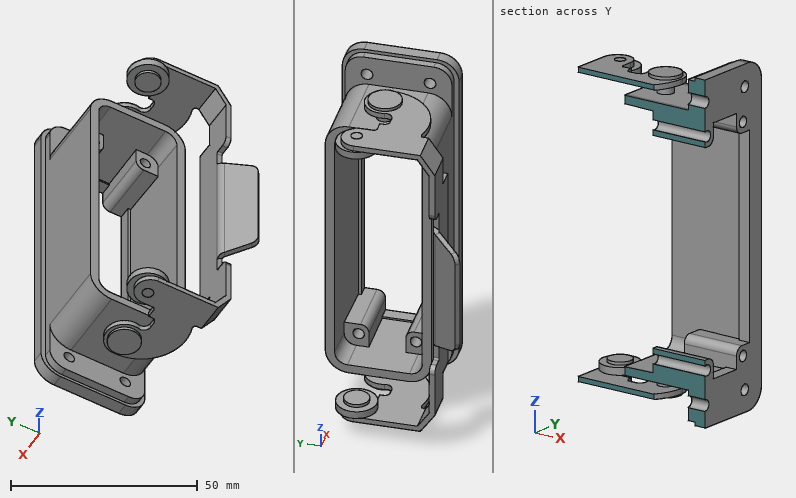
import cadquery as cq
import math


flange_width = 32.3
flange_height = 98.0
flange_thickness = 3.5
flange_radius = 6.1
step_width = 29.5
step_height = 96.0
step_radius = 5.0
step_front_x = -5.8
screw_hole_dia = 3.2
screw_hole_y = 8.7
screw_hole_z = 42.6

body_width = step_width
body_height = 79.0
body_radius = 6.6
mouth_x = -27.1
mouth_width = 24.2
mouth_height = 73.9
mouth_radius = 3.5
cavity_draft = 1.0
back_opening_width = 21.8
back_opening_height = 72.0

pad_front_x = -17.6
pad_inner_y = 5.1
pad_inner_z = 29.9
pad_embed = 0.2
pad_radius = 2.4
pad_hole_dia = 3.1
pad_hole_y = 7.9
pad_hole_z = 32.9

sheet = 1.6
lever_top_z = 44.3
lever_front_y = -19.7
lever_left_x = -42.8
lever_right_x = -34.0
fold_y = -15.7
fold_z = 38.5
tab_end_x = -29.0
tab_half_height = 30.4
notch_edge_x = -38.1
notch_half_height = 23.5
notch_lip_radius = 2.0
notch_corner_radius = 0.5

lobe_y = 2.8
shelf_y = -1.3
shelf_end_x = -30.6
shelf_radius = 0.9
slot_floor_y = -3.7
slot_radius = 1.5
hook_x = -20.0
hook_radius = 5.6
hook_blend_radius = 2.0
belly_radius = 13.8
belly_y = -0.5
heel_y = -13.5
heel_radius = 0.8

pin_dia = 4.8
pin_head_dia = 9.2
pin_head_height = 0.9

roller_x = -37.8
roller_y = 3.2
roller_dia = 11.4
roller_bottom_z = 40.6
collar_dia = 7.1
collar_bottom_z = 39.7
rivet_dia = 3.1
rivet_height = 0.1

handle_angle = 50.0
handle_bend_radius = 1.2
handle_length = 9.2
handle_root_half = 17.8
handle_tip_half = 14.9
handle_flare_half = 19.1
handle_tip_radius = 2.7


def rounded_block(width, height, radius, x_start, x_end):
    """Block along X with rounded corners, centred on the housing axis."""
    block = cq.Workplane("YZ", origin=(x_start, 0, 0)).rect(width, height).extrude(x_end - x_start)
    return block.edges("|X").fillet(radius)


def disc(x, y, diameter, z_start, z_end):
    """Round disc standing along Z."""
    return cq.Workplane("XY", origin=(x, y, z_start)).circle(diameter / 2).extrude(z_end - z_start)


def both_ends(upper):
    """The shape together with its mirror image about Z = 0."""
    return upper.union(upper.mirror("XY"))


def corner_holes(diameter, y, z):
    """Four holes along X through the whole housing."""
    return (
        cq.Workplane("YZ", origin=(mouth_x, 0, 0))
        .rect(2 * y, 2 * z, forConstruction=True)
        .vertices()
        .circle(diameter / 2)
        .extrude(-mouth_x)
    )


def make_pads():
    """Four pads filling the cavity corners, each sunk a little into the walls."""
    size_y = mouth_width / 2 + pad_embed - pad_inner_y
    size_z = mouth_height / 2 + pad_embed - pad_inner_z
    pad = (
        cq.Workplane("XY", origin=(pad_front_x, pad_inner_y, pad_inner_z))
        .box(-pad_front_x, size_y, size_z, centered=False)
        .edges("|X and <Y and <Z")
        .fillet(pad_radius)
    )
    pair = pad.union(pad.mirror("XZ"))
    return both_ends(pair)


def make_housing():
    flange = rounded_block(flange_width, flange_height, flange_radius, -flange_thickness, 0)
    step = rounded_block(step_width, step_height, step_radius, step_front_x, -flange_thickness)
    body = rounded_block(body_width, body_height, body_radius, mouth_x, step_front_x)
    cavity = (
        cq.Workplane("YZ", origin=(mouth_x, 0, 0))
        .sketch()
        .rect(mouth_width, mouth_height)
        .vertices()
        .fillet(mouth_radius)
        .finalize()
        .extrude(-flange_thickness - mouth_x, taper=cavity_draft)
    )
    back_opening = cq.Workplane("XY").box(2 * flange_thickness, back_opening_width, back_opening_height)
    housing = flange.union(step).union(body).cut(cavity).cut(back_opening).union(make_pads())
    housing = housing.cut(corner_holes(pad_hole_dia, pad_hole_y, pad_hole_z))
    return housing.cut(corner_holes(screw_hole_dia, screw_hole_y, screw_hole_z)).clean()


def make_arm():
    """Flat upper arm: a round-ended lobe joined to a hook around the pivot pin."""
    belly_x = hook_x + hook_radius - belly_radius
    lobe_radius = (lever_right_x - lever_left_x) / 2
    lobe_x = lever_left_x + lobe_radius
    blend_y = slot_floor_y + hook_blend_radius
    centre_gap = hook_radius + hook_blend_radius
    blend_x = hook_x - math.sqrt(centre_gap**2 - blend_y**2)
    touch = hook_radius / centre_gap
    touch_point = (hook_x + touch * (blend_x - hook_x), touch * blend_y)
    blend_end_angle = math.atan2(-blend_y, hook_x - blend_x)
    blend_mid_angle = (blend_end_angle - math.pi / 2) / 2
    blend_mid = (
        blend_x + hook_blend_radius * math.cos(blend_mid_angle),
        blend_y + hook_blend_radius * math.sin(blend_mid_angle),
    )
    heel_angle = math.pi + math.asin((belly_y - heel_y) / belly_radius)
    heel_x = belly_x + belly_radius * math.cos(heel_angle)
    belly_mid_angle = (heel_angle + 2 * math.pi) / 2
    belly_mid = (
        belly_x + belly_radius * math.cos(belly_mid_angle),
        belly_y + belly_radius * math.sin(belly_mid_angle),
    )
    arm = (
        cq.Workplane("XY", origin=(0, 0, lever_top_z - sheet))
        .moveTo(lever_left_x, fold_y)
        .lineTo(lever_left_x, lobe_y)
        .threePointArc((lobe_x, lobe_y + lobe_radius), (lever_right_x, lobe_y))
        .lineTo(lever_right_x, shelf_y + shelf_radius)
        .radiusArc((lever_right_x + shelf_radius, shelf_y), -shelf_radius)
        .lineTo(shelf_end_x, shelf_y)
        .lineTo(shelf_end_x, slot_floor_y + slot_radius)
        .radiusArc((shelf_end_x + slot_radius, slot_floor_y), -slot_radius)
        .lineTo(blend_x, slot_floor_y)
        .threePointArc(blend_mid, touch_point)
        .threePointArc((hook_x, hook_radius), (hook_x + hook_radius, 0))
        .lineTo(hook_x + hook_radius, belly_y)
        .threePointArc(belly_mid, (heel_x, heel_y))
        .lineTo(lever_right_x + heel_radius, heel_y)
        .radiusArc((lever_right_x, heel_y - heel_radius), -heel_radius)
        .lineTo(lever_right_x, fold_y)
        .close()
        .extrude(sheet)
    )
    return arm


def make_front_plate():
    """Folded strip joining both arms, with a tab toward the housing and a notch for the handle."""
    fold_angle = math.atan2(lever_top_z - fold_z, fold_y - lever_front_y)
    inner_fold_y = fold_y + sheet * math.tan(fold_angle / 2)
    inner_fold_z = fold_z - sheet * math.tan((math.pi / 2 - fold_angle) / 2)
    inner_front_y = lever_front_y + sheet
    inner_top_z = lever_top_z - sheet
    upper_half = [
        (inner_front_y, 0),
        (inner_front_y, inner_fold_z),
        (inner_fold_y, inner_top_z),
        (inner_fold_y, lever_top_z),
        (fold_y, lever_top_z),
        (lever_front_y, fold_z),
        (lever_front_y, 0),
    ]
    strip_section = cq.Workplane("YZ", origin=(lever_left_x, 0, 0)).polyline(upper_half).close()
    strip = strip_section.extrude(lever_right_x - lever_left_x)
    plate = both_ends(strip)
    tab = cq.Workplane("XY").box(
        tab_end_x - notch_edge_x, sheet, 2 * tab_half_height, centered=(False, False, True)
    )
    plate = plate.union(tab.translate((notch_edge_x, lever_front_y, 0)))
    notch = cq.Workplane("XY").box(
        notch_edge_x - lever_left_x, sheet, 2 * notch_half_height, centered=(False, False, True)
    )
    plate = plate.cut(notch.translate((lever_left_x, lever_front_y, 0)))
    sheet_middle_y = lever_front_y + sheet / 2
    for side in (-1, 1):
        corner_z = side * notch_half_height
        lip = cq.selectors.NearestToPointSelector((lever_left_x, sheet_middle_y, corner_z))
        plate = plate.edges(lip).fillet(notch_lip_radius)
        inner = cq.selectors.NearestToPointSelector((notch_edge_x, sheet_middle_y, corner_z))
        plate = plate.edges(inner).fillet(notch_corner_radius)
    return plate


def make_handle():
    """Sheet bent outward from the notch edge and trimmed to a tapered outline."""
    angle = math.radians(handle_angle)
    along = (-math.cos(angle), -math.sin(angle))
    bend_centre = (notch_edge_x, lever_front_y - handle_bend_radius)

    def bend_point(radius, turn):
        return (bend_centre[0] - radius * math.sin(turn), bend_centre[1] + radius * math.cos(turn))

    def tip_point(start):
        return (start[0] + handle_length * along[0], start[1] + handle_length * along[1])

    inner_radius = handle_bend_radius + sheet
    outer_start = bend_point(handle_bend_radius, angle)
    inner_start = bend_point(inner_radius, angle)
    bent_strip = (
        cq.Workplane("XY")
        .moveTo(*bend_point(handle_bend_radius, 0))
        .threePointArc(bend_point(handle_bend_radius, angle / 2), outer_start)
        .lineTo(*tip_point(outer_start))
        .lineTo(*tip_point(inner_start))
        .lineTo(*inner_start)
        .threePointArc(bend_point(inner_radius, angle / 2), bend_point(inner_radius, 0))
        .close()
        .extrude(handle_flare_half, both=True)
    )
    face = cq.Plane(
        origin=(inner_start[0], inner_start[1], 0),
        xDir=(along[0], along[1], 0),
        normal=(along[1], -along[0], 0),
    )
    root = -inner_radius * math.sin(angle)
    flare_mid = (root / 2, handle_root_half + (handle_flare_half - handle_root_half) / 4)
    outline = (
        cq.Workplane(face)
        .moveTo(root, -handle_flare_half)
        .threePointArc((flare_mid[0], -flare_mid[1]), (0, -handle_root_half))
        .lineTo(handle_length, -handle_tip_half)
        .lineTo(handle_length, handle_tip_half)
        .lineTo(0, handle_root_half)
        .threePointArc(flare_mid, (root, handle_flare_half))
        .close()
        .extrude(2 * inner_radius, both=True)
    )
    tip = tip_point(inner_start)
    for side in (-1, 1):
        corner = cq.selectors.NearestToPointSelector((tip[0], tip[1], side * handle_tip_half))
        outline = outline.edges(corner).fillet(handle_tip_radius)
    return bent_strip.intersect(outline)


def make_upper_pins():
    """Pivot pin into the housing wall, and the roller riveted to the arm."""
    pin_root_z = (body_height + mouth_height) / 4
    pin = disc(hook_x, 0, pin_dia, pin_root_z, lever_top_z)
    head = disc(hook_x, 0, pin_head_dia, lever_top_z, lever_top_z + pin_head_height)
    roller = disc(roller_x, roller_y, roller_dia, roller_bottom_z, lever_top_z - sheet)
    collar = disc(roller_x, roller_y, collar_dia, collar_bottom_z, roller_bottom_z)
    rivet = disc(roller_x, roller_y, rivet_dia, roller_bottom_z, lever_top_z + rivet_height)
    return pin.union(head).union(roller).union(collar).union(rivet)


upper_end = make_arm().union(make_upper_pins())
lever = make_front_plate().union(make_handle()).union(both_ends(upper_end))
result = make_housing().union(lever)